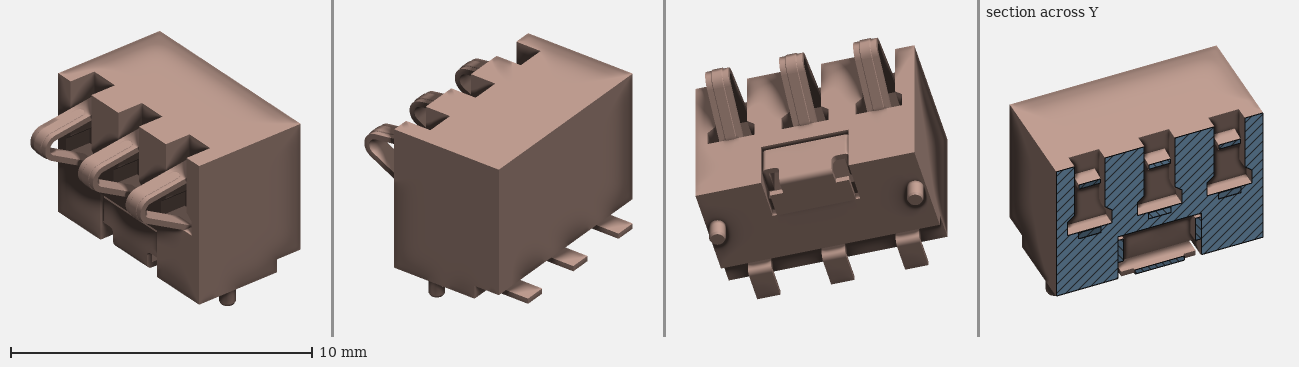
import cadquery as cq
import math


housing_width = 7.51
housing_depth = 4.3
housing_height = 5.4
rear_step_depth = 1.0
rear_step_height = 0.5

peg_diameter = 0.555
peg_length = 0.65
peg_spacing = 6.79
peg_y = 1.49
peg_tip_height = 0.08
peg_tip_inset = 0.045

contact_count = 3
contact_pitch = 2.54
slot_depth = 1.0
slot_width = 1.105
slot_floor_z = 2.5
slot_base_width = 1.61
slot_base_height = 0.55
slot_shoulder_rise = 0.22

thickness = 0.2
solder_plane_z = -0.02

contact_width = 0.795
spring_outer_radius = 0.495
spring_inner_radius = spring_outer_radius - thickness
spring_center_y = -1.34
spring_center_z = 3.8
upper_arm_angle = 7.7
lower_arm_angle = 28.5
lower_arm_end_y = 0.6
leg_rear_y = housing_depth - 0.42
leg_front_y = leg_rear_y - thickness
tail_end_y = housing_depth + 0.6

rib_width = 0.39
rib_height = 0.03
rib_bevel = 0.02
rib_end_y = 0.105

recess_width = 3.005
recess_height = 1.8
recess_depth = slot_depth
foot_slot_height = 0.31
foot_slot_depth = 1.5
plate_front_y = 0.06
plate_bottom_z = 0.69
plate_top_z = 1.67
plate_corner_radius = 0.15
tab_width = 1.8
tab_root_radius = 0.17
foot_width = 2.7
foot_shoulder_y = 0.6


def block(width, y_start, y_end, z_start, z_end):
    """A box centred on X = 0 between the given Y and Z limits."""
    corner = (-width / 2, y_start, z_start)
    return cq.Workplane("XY").box(width, y_end - y_start, z_end - z_start, centered=False).translate(corner)


def spring_point(radius, angle):
    """The (Y, Z) point at an angle from straight forward (-Y), positive upward, about the spring bend."""
    turn = math.radians(angle)
    return (spring_center_y - radius * math.cos(turn), spring_center_z + radius * math.sin(turn))


def upper_tangent(radius):
    return spring_point(radius, 90 - upper_arm_angle)


def lower_tangent(radius):
    return spring_point(radius, lower_arm_angle - 90)


def upper_arm_point(radius, y):
    """Where the upper arm surface that leaves the bend at this radius reaches a given Y."""
    start_y, start_z = upper_tangent(radius)
    return (y, start_z + (y - start_y) * math.tan(math.radians(upper_arm_angle)))


def lower_arm_point(radius, y):
    """Where the lower arm surface that leaves the bend at this radius reaches a given Y."""
    start_y, start_z = lower_tangent(radius)
    return (y, start_z - (y - start_y) * math.tan(math.radians(lower_arm_angle)))


def extrude_across(outline, width):
    """Extrude a closed YZ outline symmetrically about X = 0."""
    return outline.close().extrude(width / 2, both=True)


def make_strip():
    """The bent strip: lower arm, spring bend, upper arm, rear leg and solder tail."""
    outer = spring_outer_radius
    inner = spring_inner_radius
    outline = (
        cq.Workplane("YZ")
        .moveTo(*lower_arm_point(outer, lower_arm_end_y))
        .lineTo(*lower_tangent(outer))
        .threePointArc(spring_point(outer, 0), upper_tangent(outer))
        .lineTo(*upper_arm_point(outer, leg_rear_y))
        .lineTo(leg_rear_y, solder_plane_z + thickness)
        .lineTo(tail_end_y, solder_plane_z + thickness)
        .lineTo(tail_end_y, solder_plane_z)
        .lineTo(leg_rear_y, solder_plane_z)
        .radiusArc((leg_front_y, solder_plane_z + thickness), thickness)
        .lineTo(*upper_arm_point(inner, leg_front_y))
        .lineTo(*upper_tangent(inner))
        .threePointArc(spring_point(inner, 0), lower_tangent(inner))
        .lineTo(*lower_arm_point(inner, lower_arm_end_y))
    )
    return extrude_across(outline, contact_width)


def make_rib(strip):
    """The raised rib with a round upper end; it follows the spring down to the housing front."""
    base = spring_outer_radius
    crest = base + rib_height
    band_outline = (
        cq.Workplane("YZ")
        .moveTo(*lower_arm_point(base, 0))
        .lineTo(*lower_tangent(base))
        .threePointArc(spring_point(base, 0), upper_tangent(base))
        .lineTo(*upper_arm_point(base, rib_end_y))
        .lineTo(*upper_arm_point(crest, rib_end_y))
        .lineTo(*upper_tangent(crest))
        .threePointArc(spring_point(crest, 0), lower_tangent(crest))
        .lineTo(*lower_arm_point(crest, 0))
    )
    band = extrude_across(band_outline, contact_width)

    end_radius = rib_width / 2
    front_y = spring_center_y - 2 * spring_outer_radius
    plan = (
        cq.Workplane("XY")
        .moveTo(-end_radius, front_y)
        .lineTo(-end_radius, rib_end_y - end_radius)
        .threePointArc((0, rib_end_y), (end_radius, rib_end_y - end_radius))
        .lineTo(end_radius, front_y)
        .close()
        .extrude(housing_height)
    )
    rib = band.intersect(plan)
    crest_edges = rib.edges("not |X").filter(lambda edge: edge.distance(strip.val()) > rib_height / 2)
    return crest_edges.chamfer(rib_bevel)


def make_contact():
    strip = make_strip()
    return strip.union(make_rib(strip))


def make_latch():
    """A plate with two side wings bent back, and a tab below it bent back into a foot."""
    plate = block(recess_width, plate_front_y, recess_depth, plate_bottom_z, plate_top_z)
    plate = plate.edges("|Z and <Y").fillet(plate_corner_radius)
    plate_rear_y = plate_front_y + thickness
    between_wings = block(
        recess_width - 2 * thickness, plate_rear_y, recess_depth, plate_bottom_z, plate_top_z
    )
    plate = plate.cut(between_wings)

    tab = block(tab_width, plate_front_y, plate_rear_y, solder_plane_z, plate_bottom_z)
    root_corners = cq.selectors.BoxSelector(
        (-tab_width, plate_front_y, plate_bottom_z - thickness / 2),
        (tab_width, plate_rear_y, plate_bottom_z + thickness / 2),
    )
    latch = plate.union(tab).edges("|Y").edges(root_corners).fillet(tab_root_radius)

    foot_top_z = solder_plane_z + thickness
    neck = block(tab_width, plate_front_y, foot_shoulder_y, solder_plane_z, foot_top_z)
    foot = block(foot_width, foot_shoulder_y, foot_slot_depth, solder_plane_z, foot_top_z)
    latch = latch.union(neck).union(foot)
    return latch.faces("<Y").edges("<Z").fillet(thickness)


def make_contact_slot():
    """The cutter for one front slot: narrow and open at the top, wider at its floor."""
    shoulder_z = slot_floor_z + slot_base_height
    neck_z = shoulder_z + slot_shoulder_rise
    right_side = [
        (slot_base_width / 2, slot_floor_z),
        (slot_base_width / 2, shoulder_z),
        (slot_width / 2, neck_z),
        (slot_width / 2, housing_height),
    ]
    left_side = [(-x, z) for x, z in reversed(right_side)]
    return cq.Workplane("XZ").polyline(right_side + left_side).close().extrude(-slot_depth)


def make_peg():
    peg = cq.Workplane("XY").circle(peg_diameter / 2).extrude(-peg_length)
    return peg.faces("<Z").edges().chamfer(peg_tip_height, peg_tip_inset)


def make_housing(contacts):
    """The block with its pegs, slots and latch recess, and passages that fit the contacts."""
    body = block(housing_width, 0, housing_depth, 0, housing_height)
    step_y = housing_depth - rear_step_depth
    body = body.cut(block(housing_width, step_y, housing_depth, 0, rear_step_height))
    body = body.cut(block(recess_width, 0, recess_depth, 0, recess_height))
    body = body.cut(block(recess_width, 0, foot_slot_depth, 0, foot_slot_height))
    for x in (-peg_spacing / 2, peg_spacing / 2):
        body = body.union(make_peg().translate((x, peg_y, 0)))
    for x in contact_positions:
        body = body.cut(make_contact_slot().translate((x, 0, 0)))
    for contact in contacts:
        body = body.cut(contact)
    return body


contact_positions = [(i - (contact_count - 1) / 2) * contact_pitch for i in range(contact_count)]
contacts = [make_contact().translate((x, 0, 0)) for x in contact_positions]
housing = make_housing(contacts)
latch = make_latch()

result = cq.Compound.makeCompound(
    [housing.val(), latch.val(), *[contact.val() for contact in contacts]]
)